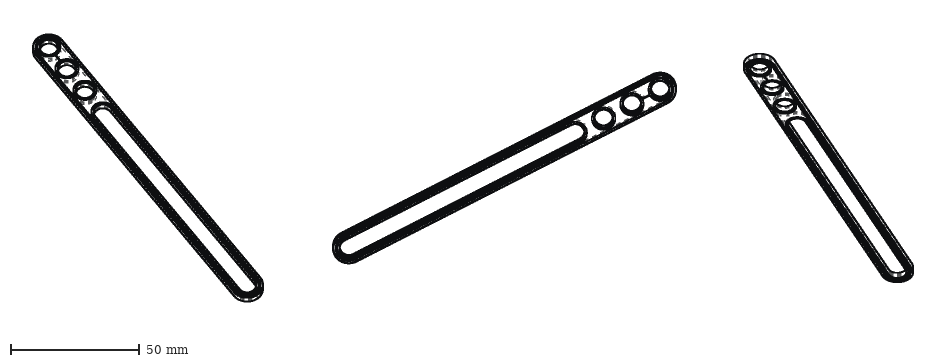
import cadquery as cq

length = 150.0
thickness = 3.2
hole_positions = 12
pitch = length / hole_positions
width = pitch

round_hole_count = 3
hole_diameter = 7.0
collar_diameter = 9.2

rim_width = 1.08
recess_depth = 0.3

rib_width = 0.22

edge_chamfer = 0.3

first_hole_x = (pitch - length) / 2
last_hole_x = -first_hole_x


def position_x(index):
    """X of a hole position, counted from the left end."""
    return first_hole_x + index * pitch


def round_ended(start_x, end_x, diameter, height):
    """Solid with full-round ends centred at the two X positions."""
    span = end_x - start_x
    plane = cq.Workplane("XY").center((start_x + end_x) / 2, 0)
    if span == 0:
        return plane.circle(diameter / 2).extrude(height)
    return plane.slot2D(span + diameter, diameter).extrude(height)


openings = [(position_x(index), position_x(index)) for index in range(round_hole_count)]
openings.append((position_x(round_hole_count), last_hole_x))

bar = round_ended(first_hole_x, last_hole_x, width, thickness)
for start_x, end_x in openings:
    bar = bar.cut(round_ended(start_x, end_x, hole_diameter, thickness))
bar = bar.faces("<Z or >Z").chamfer(edge_chamfer)

recess = round_ended(first_hole_x, last_hole_x, width - 2 * rim_width, recess_depth)
for start_x, end_x in openings:
    recess = recess.cut(round_ended(start_x, end_x, collar_diameter, recess_depth))
rib_x = (position_x(0) + position_x(1)) / 2
rib = cq.Workplane("XY").center(rib_x, 0).rect(pitch, rib_width).extrude(recess_depth)
recess = recess.cut(rib)

result = bar.cut(recess).cut(recess.translate((0, 0, thickness - recess_depth)))